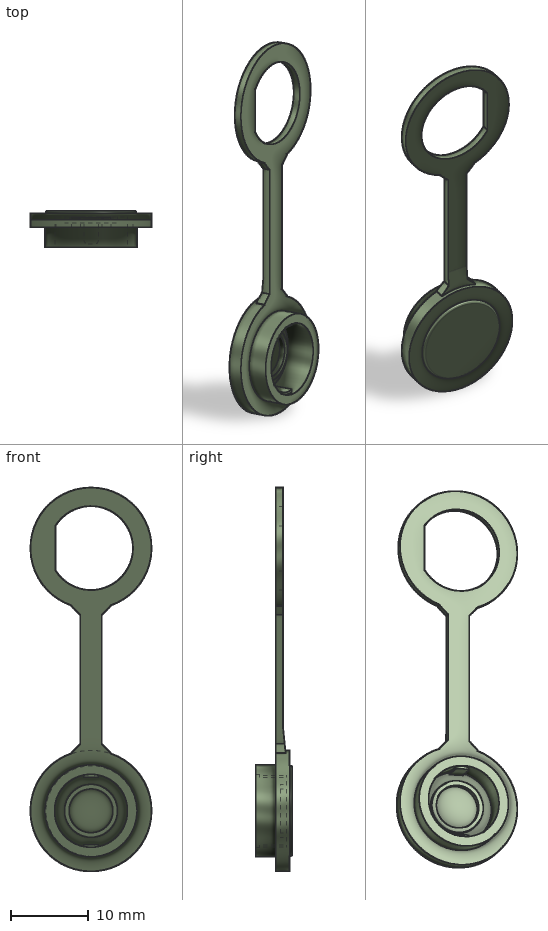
import cadquery as cq

total_height = 49.55
head_radius = 7.85
head_offset = total_height / 2 - head_radius

strap_thickness = 1.0
strap_width = 2.8
ring_hole_radius = 5.4
ring_flat_offset = 4.55
flare_length = 1.15
flare_start = 8.6

ramp_start = 10.65
ramp_end = 7.2
ramp_rise = 0.35

flange_thickness = 1.85
crown_height = 0.35
crown_radius = 5.85
crown_fillet = 0.3
plug_length = 2.6
plug_radius = 5.95
bore_radius = 4.7
floor_thickness = 0.8
floor_y = flange_thickness + crown_height - floor_thickness
bore_depth = plug_length + floor_y

collar_outer_radius = 3.4
collar_inner_radius = 2.8
collar_height = 0.8
rib_width = 1.85
rib_inner_offset = 4.35
rib_recess = 0.45
rib_nose_radius = 0.5
rib_embed = 0.2


def cylinder(radius, y_start, length, z_center):
    """Cylinder along Y from y_start towards +Y."""
    plane = cq.Workplane("XZ", origin=(0, y_start, z_center))
    return plane.circle(radius).extrude(-length)


def flared_neck(head_z, direction, thickness):
    """Strap end that widens at 45 degrees into a round head."""
    half_width = strap_width / 2
    flared_half_width = half_width + flare_length
    narrow_z = head_z + direction * flare_start
    wide_z = head_z + direction * (flare_start - flare_length)
    outline = [
        (-half_width, narrow_z),
        (half_width, narrow_z),
        (flared_half_width, wide_z),
        (0, head_z),
        (-flared_half_width, wide_z),
    ]
    return cq.Workplane("XZ").polyline(outline).close().extrude(-thickness)


def make_ring():
    ring = cylinder(head_radius, 0, strap_thickness, head_offset)
    ring = ring.union(flared_neck(head_offset, -1, strap_thickness))
    hole = cylinder(ring_hole_radius, 0, strap_thickness, head_offset)
    hole_width = ring_flat_offset + ring_hole_radius
    hole_limit = cq.Workplane("XY").box(
        hole_width, strap_thickness, 2 * ring_hole_radius, centered=(False, False, True)
    ).translate((-ring_flat_offset, 0, head_offset))
    return ring.cut(hole.intersect(hole_limit))


def make_strap():
    strap = cq.Workplane("XY").box(
        strap_width, strap_thickness, 2 * (head_offset - flare_start), centered=(True, False, True)
    )
    thickest = strap_thickness + ramp_rise
    ramp_profile = [
        (0, ramp_start - head_offset),
        (strap_thickness, ramp_start - head_offset),
        (thickest, ramp_end - head_offset),
        (0, ramp_end - head_offset),
    ]
    ramp = cq.Workplane("YZ").polyline(ramp_profile).close().extrude(head_radius, both=True)
    straight_stub = cq.Workplane("XY").box(
        strap_width, thickest, ramp_start, centered=(True, False, False)
    ).translate((0, 0, -head_offset))
    neck = flared_neck(-head_offset, 1, thickest).union(straight_stub)
    return strap.union(neck.intersect(ramp))


def make_cap():
    flange = cylinder(head_radius, 0, flange_thickness, -head_offset)
    plug = cylinder(plug_radius, -plug_length, plug_length, -head_offset)
    crown = cylinder(crown_radius, flange_thickness, crown_height, -head_offset)
    crown = crown.faces(">Y").edges().fillet(crown_fillet)
    bore = cylinder(bore_radius, -plug_length, bore_depth, -head_offset)
    return flange.union(plug).union(crown).cut(bore)


def make_collar():
    """Raised ring standing on the floor of the bore."""
    collar_y = floor_y - collar_height
    outer = cylinder(collar_outer_radius, collar_y, collar_height, -head_offset)
    inner = cylinder(collar_inner_radius, collar_y, collar_height, -head_offset)
    return outer.cut(inner)


def make_rib(side):
    """Flat-topped rib along the bore wall, with a rounded front nose."""
    rib_height = bore_radius - rib_inner_offset + rib_embed
    rib_length = bore_depth - rib_recess
    rib = cq.Workplane("XY").box(rib_width, rib_length, rib_height, centered=(True, False, True))
    rib = rib.edges("|Z and <Y").fillet(rib_nose_radius)
    rib_z = side * (rib_inner_offset + rib_height / 2) - head_offset
    return rib.translate((0, rib_recess - plug_length, rib_z))


result = make_ring().union(make_strap()).union(make_cap()).union(make_collar())
for rib_side in (-1, 1):
    result = result.union(make_rib(rib_side))